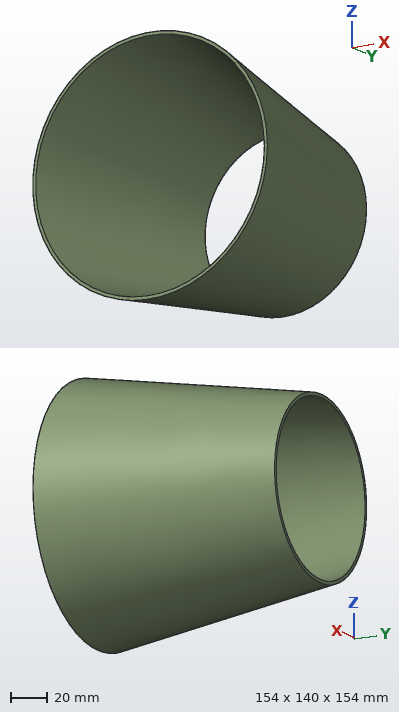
import cadquery as cq

large_diameter = 154.0
small_diameter = 108.0
length = 140.0
wall = 2.0

large_radius = large_diameter / 2
small_radius = small_diameter / 2

wall_section = [
    (large_radius - wall, 0),
    (large_radius, 0),
    (small_radius, length),
    (small_radius - wall, length),
]

result = (
    cq.Workplane("XY")
    .polyline(wall_section)
    .close()
    .revolve(360, (0, 0, 0), (0, 1, 0))
)